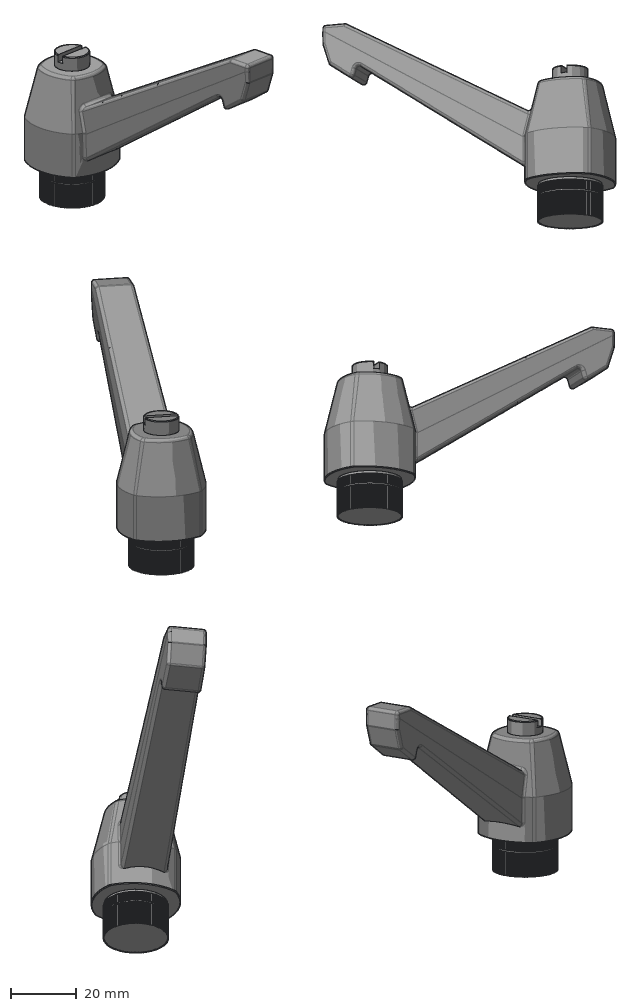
import cadquery as cq
import math

overall_length = 92.6

hub_half_width = 13.6
hub_side_radius = 18.1
hub_bottom_z = 11.8
hub_shoulder_z = 26.3
hub_top_z = 43.3
hub_taper_angle = 13.6
hub_corner_radius = 2.6
hub_top_radius = 1.2
hub_bottom_chamfer = 0.3

head_diameter = 10.8
head_top_z = 47.9
head_chamfer = 0.3
slot_width = 1.85
slot_depth = 2.3

insert_diameter = 20.0
core_diameter = 19.45
insert_top_z = 10.9
groove_z = 7.8
groove_height = 0.6
tooth_count = 144

lever_start_x = 7.4
lever_tip_x = overall_length - hub_half_width
lever_top_z = 67.0
top_slope_angle = 28.5
top_break_x = 71.5
bottom_slope_angle = 33.8
bottom_line_z = 8.5
notch_x = 67.6
hook_point = (69.0, 49.2)
hook_outer = (76.9, 54.55)
tip_corner_z = 61.1

parting_angle = 30.6
parting_start = (13.1, hub_shoulder_z)
root_half_width = 7.3
tip_half_width = 6.0
draft_angle = 1.5
lever_edge_radius = 1.0


def tangent(degrees):
    return math.tan(math.radians(degrees))


def hub_side():
    """Solid of revolution whose outer surface forms one bulging side of the hub."""
    top_radius = hub_side_radius - (hub_top_z - hub_shoulder_z) * tangent(hub_taper_angle)
    return (
        cq.Workplane("XZ")
        .moveTo(0, hub_bottom_z)
        .lineTo(hub_side_radius, hub_bottom_z)
        .lineTo(hub_side_radius, hub_shoulder_z)
        .lineTo(top_radius, hub_top_z)
        .lineTo(0, hub_top_z)
        .close()
        .revolve(360, (0, 0, 0), (0, 1, 0))
    )


def hub():
    """Four bulging sides that meet at rounded corners."""
    side = hub_side()
    side_offset = hub_side_radius - hub_half_width
    body = side.translate((side_offset, 0, 0))
    for x_sign, y_sign in ((-1, 0), (0, 1), (0, -1)):
        body = body.intersect(side.translate((x_sign * side_offset, y_sign * side_offset, 0)))

    clearance = hub_half_width / 3
    corners = body.edges().filter(lambda edge: min(abs(edge.Center().x), abs(edge.Center().y)) > clearance)
    body = corners.fillet(hub_corner_radius)
    body = body.faces(">Z").edges().fillet(hub_top_radius)
    return body.faces("<Z").edges().chamfer(hub_bottom_chamfer)


def screw_head():
    head = (
        cq.Workplane("XY", origin=(0, 0, hub_top_z))
        .circle(head_diameter / 2)
        .extrude(head_top_z - hub_top_z)
        .faces(">Z")
        .edges()
        .chamfer(head_chamfer)
    )
    slot = (
        cq.Workplane("XY", origin=(0, 0, head_top_z))
        .rect(slot_width, 2 * head_diameter)
        .extrude(-slot_depth)
    )
    return head.cut(slot)


def insert():
    """Round core with two bands of fine straight teeth, parted by a groove."""
    tip_radius = insert_diameter / 2
    core_radius = core_diameter / 2
    points = []
    for step in range(2 * tooth_count):
        radius = tip_radius if step % 2 == 0 else core_radius
        angle = math.pi * step / tooth_count
        points.append((radius * math.cos(angle), radius * math.sin(angle)))

    body = cq.Workplane("XY").circle(core_radius).extrude(hub_bottom_z)
    lower_band = (0, groove_z - groove_height / 2)
    upper_band = (groove_z + groove_height / 2, insert_top_z)
    for bottom, top in (lower_band, upper_band):
        band = cq.Workplane("XY", origin=(0, 0, bottom)).polyline(points).close().extrude(top - bottom)
        body = body.union(band)
    return body


def lever_profile():
    """Side outline of the lever, extruded wider than the finished lever."""
    start_bottom_z = bottom_line_z + lever_start_x * tangent(bottom_slope_angle)
    notch_z = bottom_line_z + notch_x * tangent(bottom_slope_angle)
    start_top_z = lever_top_z - (top_break_x - lever_start_x) * tangent(top_slope_angle)
    return (
        cq.Workplane("XZ")
        .moveTo(lever_start_x, start_bottom_z)
        .lineTo(notch_x, notch_z)
        .lineTo(*hook_point)
        .lineTo(*hook_outer)
        .lineTo(lever_tip_x, tip_corner_z)
        .lineTo(lever_tip_x, lever_top_z)
        .lineTo(top_break_x, lever_top_z)
        .lineTo(lever_start_x, start_top_z)
        .close()
        .extrude(2 * root_half_width, both=True)
    )


def lever_bar():
    """Bar along the parting line that gives the lever its width, taper and draft."""
    slope = math.radians(parting_angle)
    direction = cq.Vector(math.cos(slope), 0, math.sin(slope))
    start = cq.Vector(parting_start[0], 0, parting_start[1])
    length = (lever_tip_x - parting_start[0]) / math.cos(slope)
    taper = (root_half_width - tip_half_width) / length
    overrun = 13.9
    half_height = 18.5
    draft = half_height * tangent(draft_angle)

    sections = []
    for distance in (-overrun, length + overrun):
        wide = root_half_width - taper * distance
        narrow = wide - draft
        plane = cq.Plane(start + direction * distance, xDir=(0, 1, 0), normal=direction)
        corners = [
            (wide, 0),
            (narrow, half_height),
            (-narrow, half_height),
            (-wide, 0),
            (-narrow, -half_height),
            (narrow, -half_height),
        ]
        sections.append(cq.Workplane(plane).polyline(corners).close().val())
    return cq.Workplane(cq.Solid.makeLoft(sections, True))


def is_parting_line(edge):
    """The parting lines are the only long edges that reach the tip of the lever."""
    far_x = max(edge.startPoint().x, edge.endPoint().x)
    return edge.Length() > overall_length / 2 and far_x > hook_outer[0]


def is_root_edge(edge):
    """Edges where the sides and top of the lever meet the hub."""
    box = edge.BoundingBox()
    near_hub = lever_start_x < box.xmin and box.xmax < hub_half_width
    beside_lever = max(-box.ymin, box.ymax) < root_half_width + lever_edge_radius
    lever_bottom_z = bottom_line_z + hub_half_width * tangent(bottom_slope_angle)
    return near_hub and beside_lever and lever_bottom_z < edge.Center().z < hub_top_z - 2 * hub_top_radius


def handle():
    """Hub and lever with the lever's edges and its root rounded."""
    body = hub().union(lever_profile().intersect(lever_bar()))

    def is_rounded(edge):
        on_lever = edge.Center().x > hub_half_width and not is_parting_line(edge)
        return on_lever or is_root_edge(edge)

    return body.edges().filter(is_rounded).fillet(lever_edge_radius)


result = handle().union(screw_head()).union(insert())